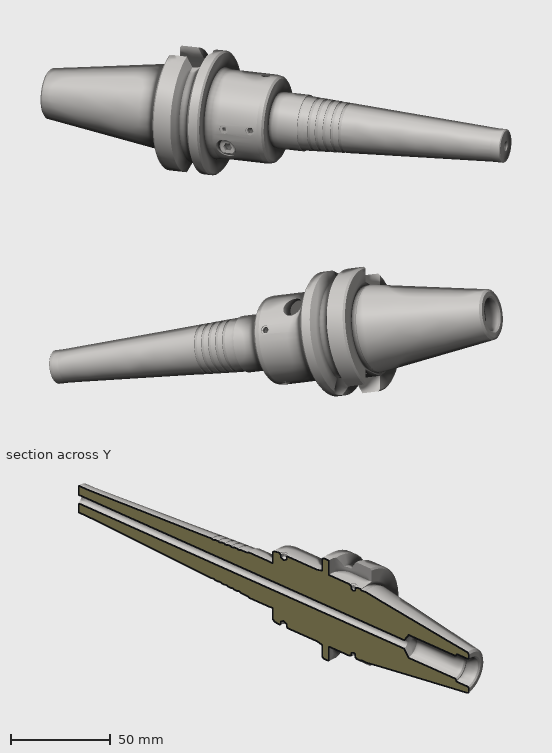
import math
import cadquery as cq


taper_slope = 7 / 48
gauge_radius = 44.45 / 2
taper_length = 65.4
taper_end_radius = gauge_radius - taper_length * taper_slope
taper_edge_chamfer = 1.0

flange_radius = 63 / 2
flange_start = 2.0
flange_end = 27.0
flange_edge_chamfer = 0.9
neck_radius = 22.0
neck_step = 0.4
undercut_radius = 23.8
undercut_depth = 0.6
groove_center = 16.6
groove_floor_radius = 26.4
groove_floor_half = 1.85
groove_flank_slope = math.tan(math.radians(30))
groove_mouth_half = groove_floor_half + (flange_radius - groove_floor_radius) * groove_flank_slope

body_radius = 45 / 2
collar_radius = 23.3
collar_end = 30.3
body_end = 58.0
body_bevel_start = 54.7
body_bevel_end = 57.0
body_bevel_drop = 0.5
body_edge_chamfer = 1.0

shank_radius = 28.6 / 2
shank_root_relief = 0.3
shank_root_end = 60.0
shank_end = 73.2
nose_radius = 17 / 2
nose_start = 174.7
nose_end = 180.0
nose_chamfer = 0.5
cone_slope = math.tan(math.radians(3))

ring_count = 5
ring_pitch = 4.05
ring_start = 78.4
ring_width = 1.5
ring_depth = 0.4

pilot_radius = 17 / 2
pilot_chamfer = 0.75
pilot_depth = 8.0
thread_radius = 14 / 2
thread_entry_chamfer = 0.75
thread_depth = 30.0
coolant_radius = 5 / 2

keyway_width = 16.1
keyway_floor = 22.5
keyway_end = 22.6

set_screw_sink = 0.5
set_screw_socket_depth = 2.0
keyway_screw_x = 7.3
keyway_screw_diameter = 4.0
keyway_screw_flats = 2.0
balance_screw_x = 51.1
balance_screw_diameter = 4.5
balance_screw_flats = 3.0
balance_screw_count = 4
side_screw_diameter = 4.5
side_screw_flats = 2.0
side_screw_offset = 0.8

clamp_screw_x = 37.1
clamp_screw_offset = 11.7
clamp_bore_diameter = 10.4
clamp_bore_floor = 12.0
clamp_head_diameter = 9.0
clamp_head_chamfer = 0.6
clamp_head_height = 5.0
clamp_screw_flats = 4.0
clamp_socket_depth = 3.0
clamp_port_diameter = 10.0
clamp_port_offset = 11.0

drill_point_slope = math.tan(math.radians(118 / 2))


def cone_radius(x):
    """Radius of the slender cone at position x."""
    return nose_radius + (nose_start - x) * cone_slope


def revolved(outline):
    """Solid of revolution about X from a list of (x, radius) points."""
    return cq.Workplane("XY").polyline(outline).close().revolve(360, (0, 0, 0), (1, 0, 0))


def turned_body():
    groove_floor_left = groove_center - groove_floor_half
    groove_floor_right = groove_center + groove_floor_half
    outline = [
        (-taper_length, 0),
        (-taper_length, taper_end_radius - taper_edge_chamfer),
        (-taper_length + taper_edge_chamfer, taper_end_radius + taper_edge_chamfer * taper_slope),
        (0, gauge_radius),
        (neck_step, neck_radius),
        (flange_start + undercut_depth, neck_radius),
        (flange_start, undercut_radius),
        (flange_start, flange_radius - flange_edge_chamfer),
        (flange_start + flange_edge_chamfer, flange_radius),
        (groove_center - groove_mouth_half, flange_radius),
        (groove_floor_left, groove_floor_radius),
        (groove_floor_right, groove_floor_radius),
        (groove_center + groove_mouth_half, flange_radius),
        (flange_end - flange_edge_chamfer, flange_radius),
        (flange_end, flange_radius - flange_edge_chamfer),
        (flange_end, collar_radius),
        (collar_end, body_radius),
        (body_bevel_start, body_radius),
        (body_bevel_end, body_radius - body_bevel_drop),
        (body_end, body_radius - body_bevel_drop - body_edge_chamfer),
        (body_end, shank_radius - shank_root_relief),
        (shank_root_end, shank_radius),
        (shank_end, shank_radius),
        (shank_end, cone_radius(shank_end)),
        (nose_start, nose_radius),
        (nose_end - nose_chamfer, nose_radius),
        (nose_end, nose_radius - nose_chamfer),
        (nose_end, 0),
    ]
    return revolved(outline)


def cut_rings(body):
    for index in range(ring_count):
        start = ring_start + index * ring_pitch
        end = start + ring_width
        section = [
            (start, shank_radius),
            (start, cone_radius(start) - ring_depth),
            (end, cone_radius(end) - ring_depth),
            (end, shank_radius),
        ]
        ring = revolved(section)
        body = body.cut(ring)
    return body


def cut_axial_bore(body):
    mouth = -taper_length
    ledge = mouth + pilot_depth
    thread_end = ledge + thread_depth
    thread_point_length = (thread_radius - coolant_radius) / drill_point_slope
    outline = [
        (mouth, 0),
        (mouth, pilot_radius + pilot_chamfer),
        (mouth + pilot_chamfer, pilot_radius),
        (ledge, pilot_radius),
        (ledge, thread_radius + thread_entry_chamfer),
        (ledge + thread_entry_chamfer, thread_radius),
        (thread_end, thread_radius),
        (thread_end + thread_point_length, coolant_radius),
        (nose_end, coolant_radius),
        (nose_end, 0),
    ]
    return body.cut(revolved(outline))


def about_axis(shape, angle):
    """Turn a shape made pointing to +Z about X, towards -Y."""
    return shape.rotate((0, 0, 0), (1, 0, 0), angle)


def cut_keyways(body):
    straight_end = keyway_end - keyway_width / 2
    pocket = (
        cq.Workplane("XY", origin=(0, 0, keyway_floor))
        .moveTo(0, -keyway_width / 2)
        .lineTo(straight_end, -keyway_width / 2)
        .threePointArc((keyway_end, 0), (straight_end, keyway_width / 2))
        .lineTo(0, keyway_width / 2)
        .close()
        .extrude(flange_radius)
    )
    return body.cut(pocket).cut(about_axis(pocket, 180))


def cylinder_along_z(x, diameter, bottom):
    """Cutter from height bottom out past the flange."""
    return cq.Workplane("XY", origin=(x, 0, bottom)).circle(diameter / 2).extrude(flange_radius - bottom)


def hex_socket(x, top, flats, depth):
    """Hexagonal recess ending in a drill point."""
    floor = top - depth
    corner_diameter = flats / math.cos(math.radians(30))
    tip_length = flats / 2 / drill_point_slope
    hexagon = cq.Workplane("XY", origin=(x, 0, floor)).polygon(6, corner_diameter).extrude(depth)
    point = cq.Solid.makeCone(flats / 2, 0, tip_length, cq.Vector(x, 0, floor), cq.Vector(0, 0, -1))
    return hexagon.union(cq.Workplane(point))


def sunk_screw(x, diameter, surface, flats):
    """Cutter for a set screw sunk just below a surface height."""
    top = surface - set_screw_sink
    return cylinder_along_z(x, diameter, top).union(hex_socket(x, top, flats, set_screw_socket_depth))


def cut_keyway_screws(body):
    screw = sunk_screw(keyway_screw_x, keyway_screw_diameter, keyway_floor, keyway_screw_flats)
    return body.cut(screw).cut(about_axis(screw, 180))


def cut_balance_screws(body):
    screw = sunk_screw(balance_screw_x, balance_screw_diameter, body_radius, balance_screw_flats)
    for index in range(balance_screw_count):
        body = body.cut(about_axis(screw, index * 360 / balance_screw_count))
    return body


def cut_clamp_screw(body):
    """Bore along -Y below the axis, holding a chamfered screw head with a hex socket."""
    head = (
        cq.Workplane("XY", origin=(clamp_screw_x, 0, clamp_bore_floor))
        .circle(clamp_head_diameter / 2)
        .extrude(clamp_head_height)
        .faces(">Z")
        .chamfer(clamp_head_chamfer)
    )
    head_top = clamp_bore_floor + clamp_head_height
    cutter = cylinder_along_z(clamp_screw_x, clamp_bore_diameter, clamp_bore_floor).cut(head)
    cutter = cutter.union(hex_socket(clamp_screw_x, head_top, clamp_screw_flats, clamp_socket_depth))
    return body.cut(about_axis(cutter, 90).translate((0, 0, -clamp_screw_offset)))


def cut_clamp_port(body):
    """Plain bore along +Y above the axis, opposite the clamp screw."""
    cutter = cylinder_along_z(clamp_screw_x, clamp_port_diameter, clamp_bore_floor)
    return body.cut(about_axis(cutter, -90).translate((0, 0, clamp_port_offset)))


def cut_side_screw(body):
    """Small screw beside the clamp screw, just below the axis."""
    cutter = sunk_screw(clamp_screw_x, side_screw_diameter, body_radius, side_screw_flats)
    return body.cut(about_axis(cutter, 90).translate((0, 0, -side_screw_offset)))


holder = cut_rings(turned_body())
holder = cut_axial_bore(holder)
holder = cut_keyways(holder)
holder = cut_keyway_screws(holder)
holder = cut_balance_screws(holder)
holder = cut_clamp_screw(holder)
holder = cut_clamp_port(holder)
result = cut_side_screw(holder)